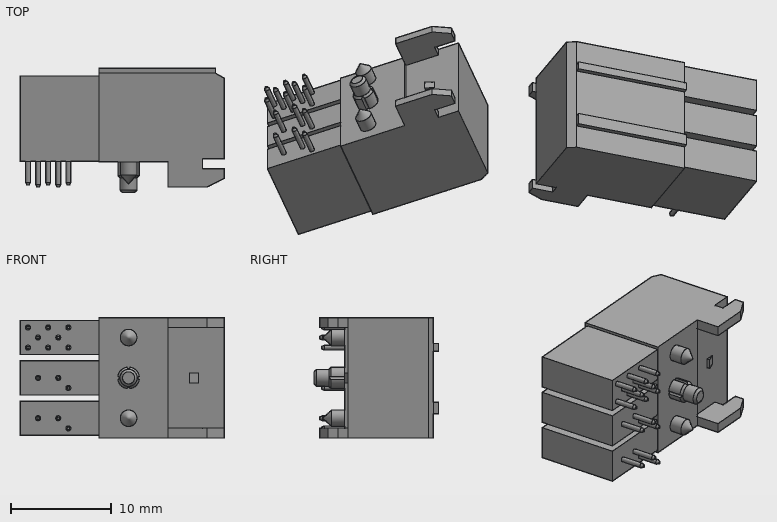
import cadquery as cq
import math


total_length = 20.25
housing_length = 12.44
housing_height = 11.95
right_end = 9.5
left_end = right_end - total_length
housing_left = right_end - housing_length

housing_back = 8.8
recess_left = 3.89
recess_depth = 0.3
corner_length = 0.88
corner_depth = 0.5

arm_thickness = 1.0
arm_reach = 2.5
arm_bevel_length = 1.71
arm_bevel_depth = 0.86
slot_length = 2.15
slot_width = 0.97
slot_back = recess_depth

wedge_left = 6.02
wedge_length = 0.9
wedge_height = 1.0
wedge_rise = 0.3

rail_height = 0.5
rail_spans = [(2.64, 3.42), (-3.57, -2.41)]

module_pitch = 4.0
module_height = 3.4
module_front = 0.05
module_back = 8.54

pin_pitch = 1.0
first_pin_offset = 0.78
pin_radius = 0.25
pin_tip_radius = 0.125
pin_tip_length = 0.28
short_pin_reach = 2.3
long_pin_reach = 2.5
full_pattern = [(0, 1), (2, 1), (4, 1), (1, 0), (3, 0), (0, -1), (2, -1), (4, -1)]
sparse_pattern = [(1, 0), (3, 0), (4, -1)]
module_patterns = {1: full_pattern, 0: sparse_pattern, -1: sparse_pattern}

side_post_radius = 0.82
side_post_shoulder = 1.3
side_post_reach = 2.2
centre_base_radius = 1.075
centre_tip_radius = 0.85
centre_base_reach = 1.35
centre_reach = 3.05
centre_tip_chamfer = 0.25
groove_radius = 0.15
groove_count = 4

root_depth = 0.5


def box(x_range, y_range, z_range):
    """Box between the given lower and upper limits on each axis."""
    size = [high - low for low, high in (x_range, y_range, z_range)]
    corner = (x_range[0], y_range[0], z_range[0])
    return cq.Workplane("XY").box(*size, centered=False).translate(corner)


def extrude_profile(points, z_low, z_high):
    """Closed XY outline extruded between two heights."""
    return cq.Workplane("XY").workplane(offset=z_low).polyline(points).close().extrude(z_high - z_low)


def turned(profile, x, z):
    """Body turned about a -Y axis; profile lists (radius, Y) from the root to the tip."""
    outline = [(0, profile[0][1])] + profile
    if profile[-1][0] > 0:
        outline.append((0, profile[-1][1]))
    body = cq.Workplane("XY").polyline(outline).close().revolve(360, (0, 0, 0), (0, 1, 0))
    return body.translate((x, 0, z))


def make_housing():
    half_height = housing_height / 2
    outline = [
        (housing_left, 0),
        (recess_left, 0),
        (recess_left, recess_depth),
        (right_end, recess_depth),
        (right_end, housing_back - corner_depth),
        (right_end - corner_length, housing_back),
        (housing_left, housing_back),
    ]
    return extrude_profile(outline, -half_height, half_height)


def make_arm(z_low):
    slot_left = right_end - slot_length
    slot_front = slot_back - slot_width
    outline = [
        (recess_left, recess_depth),
        (recess_left, -arm_reach),
        (right_end - arm_bevel_length, -arm_reach),
        (right_end, -arm_reach + arm_bevel_depth),
        (right_end, slot_front),
        (slot_left, slot_front),
        (slot_left, slot_back),
    ]
    return extrude_profile(outline, z_low, z_low + arm_thickness)


def make_wedge():
    outline = [
        (wedge_left, recess_depth),
        (wedge_left, recess_depth - wedge_rise),
        (wedge_left + wedge_length, recess_depth),
    ]
    return extrude_profile(outline, -wedge_height / 2, wedge_height / 2)


def make_rail(z_span):
    x_range = (housing_left, right_end - corner_length)
    return box(x_range, (housing_back, housing_back + rail_height), z_span)


def make_pin(x, z, reach):
    profile = [
        (pin_radius, root_depth),
        (pin_radius, -reach + pin_tip_length),
        (pin_tip_radius, -reach),
    ]
    return turned(profile, x, z)


def make_module(level):
    z_middle = level * module_pitch
    z_range = (z_middle - module_height / 2, z_middle + module_height / 2)
    module = box((left_end, housing_left), (module_front, module_back), z_range)
    for column, row in module_patterns[level]:
        x = left_end + first_pin_offset + column * pin_pitch
        z = z_middle + row * pin_pitch
        reach = long_pin_reach if row == 0 else short_pin_reach
        module = module.union(make_pin(x, z, reach))
    return module


def make_side_post(z):
    profile = [
        (side_post_radius, root_depth),
        (side_post_radius, -side_post_shoulder),
        (0, -side_post_reach),
    ]
    return turned(profile, 0, z)


def make_centre_post():
    """Stepped post with a conical step, a chamfered tip and grooves along its base."""
    step_length = centre_base_radius - centre_tip_radius
    base_end = centre_base_reach + step_length
    profile = [
        (centre_base_radius, root_depth),
        (centre_base_radius, -centre_base_reach),
        (centre_tip_radius, -base_end),
        (centre_tip_radius, -centre_reach + centre_tip_chamfer),
        (centre_tip_radius - centre_tip_chamfer, -centre_reach),
    ]
    post = turned(profile, 0, 0)
    for index in range(groove_count):
        angle = 2 * math.pi * index / groove_count
        x = centre_base_radius * math.cos(angle)
        z = centre_base_radius * math.sin(angle)
        groove = cq.Workplane("XZ").center(x, z).circle(groove_radius).extrude(base_end)
        post = post.cut(groove)
    return post


result = make_housing()
for arm_bottom in (-housing_height / 2, housing_height / 2 - arm_thickness):
    result = result.union(make_arm(arm_bottom))
result = result.union(make_wedge())
for span in rail_spans:
    result = result.union(make_rail(span))
for module_level in module_patterns:
    result = result.union(make_module(module_level))
for post_level in (-1, 1):
    result = result.union(make_side_post(post_level * module_pitch))
result = result.union(make_centre_post())